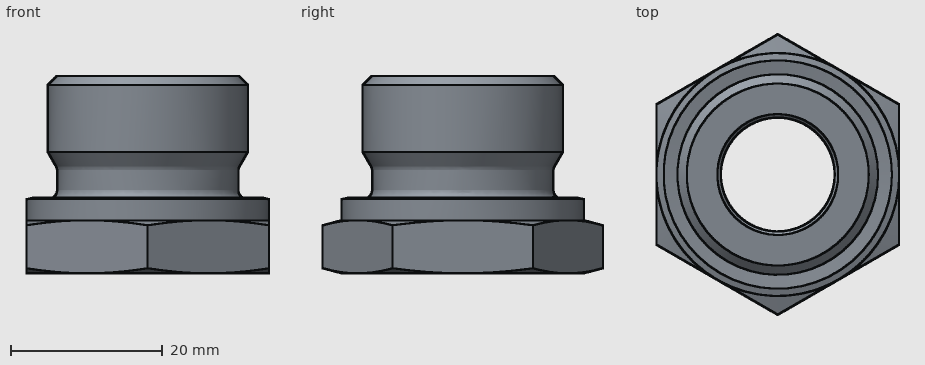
import cadquery as cq
import math

corner_width = 36.95
across_flats = corner_width * math.cos(math.radians(30))
head_height = 7.0
head_chamfer_angle = 15.0

collar_radius = across_flats / 2
collar_top = 9.98
collar_face_radius = 15.05
collar_edge_drop = 0.22
collar_dish_angle = 7.0

total_height = 26.0
shank_radius = 26.42 / 2
shank_bottom = 16.0
shank_chamfer = 1.22
neck_radius = 23.9 / 2
neck_top_fillet = 1.0
neck_bottom_fillet = 1.2
runout_angle = 30.0

bore_radius = 14.95 / 2
bore_chamfer = 0.48


def make_head():
    """Hexagon with corners on Y, its corners turned off by a cone at both ends."""
    prism = cq.Workplane("XY").polygon(6, corner_width).extrude(head_height)
    prism = prism.rotate((0, 0, 0), (0, 0, 1), 90)
    corner_radius = corner_width / 2
    corner_drop = (corner_radius - across_flats / 2) * math.tan(math.radians(head_chamfer_angle))
    envelope = (
        cq.Workplane("XZ")
        .lineTo(across_flats / 2, 0)
        .lineTo(corner_radius, corner_drop)
        .lineTo(corner_radius, head_height - corner_drop)
        .lineTo(across_flats / 2, head_height)
        .lineTo(0, head_height)
        .close()
        .revolve(360, (0, 0, 0), (0, 1, 0))
    )
    return prism.intersect(envelope)


def make_turned_body():
    """Collar with a dished top face, filleted neck and shank revolved about Z."""
    runout_height = (shank_radius - neck_radius) / math.tan(math.radians(runout_angle))
    neck_top = shank_bottom - runout_height
    dish_depth = (collar_face_radius - neck_radius) * math.tan(math.radians(collar_dish_angle))
    body = (
        cq.Workplane("XZ")
        .moveTo(0, head_height)
        .lineTo(collar_radius, head_height)
        .lineTo(collar_radius, collar_top - collar_edge_drop)
        .lineTo(collar_face_radius, collar_top)
        .lineTo(neck_radius, collar_top - dish_depth)
        .lineTo(neck_radius, neck_top)
        .lineTo(shank_radius, shank_bottom)
        .lineTo(shank_radius, total_height - shank_chamfer)
        .lineTo(shank_radius - shank_chamfer, total_height)
        .lineTo(0, total_height)
        .close()
        .revolve(360, (0, 0, 0), (0, 1, 0))
    )
    smallest_radius = cq.selectors.RadiusNthSelector(0)
    body = body.edges("%CIRCLE").edges(smallest_radius).edges("<Z").fillet(neck_bottom_fillet)
    return body.edges("%CIRCLE").edges(smallest_radius).edges(">Z").fillet(neck_top_fillet)


def make_bore():
    """Through bore with a chamfered mouth at the shank end."""
    return (
        cq.Workplane("XZ")
        .lineTo(bore_radius, 0)
        .lineTo(bore_radius, total_height - bore_chamfer)
        .lineTo(bore_radius + bore_chamfer, total_height)
        .lineTo(0, total_height)
        .close()
        .revolve(360, (0, 0, 0), (0, 1, 0))
    )


result = make_head().union(make_turned_body()).cut(make_bore())